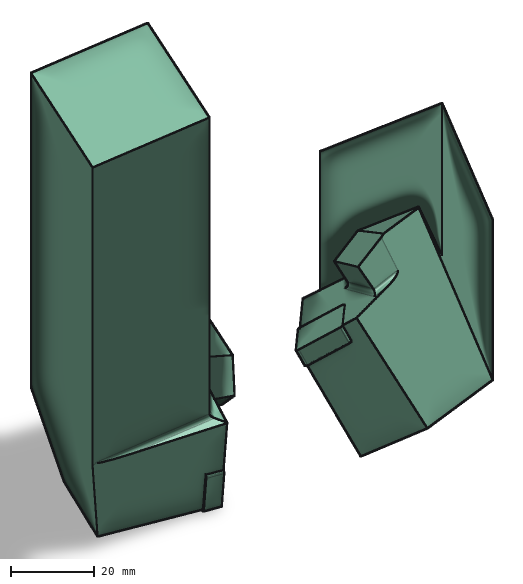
import cadquery as cq
import math

SHANK_SIDE = 31.9
TOTAL_LENGTH = 152.4
SHANK_START = 25.9

HEAD_DEPTH = 46.6
HEAD_WIDTH = 41.1
HEAD_HEIGHT = 32.0
SHOULDER_HEIGHT = 29.9
SHOULDER_ANGLE = 15.0
SHOULDER_FILLET = 1.2
BEVEL_START = (0.0, 0.0, 23.6)
BEVEL_NORMAL = (-1.06, 0.03, -1.0)

SIDE_FLANK_POINT = (SHANK_SIDE, 0.0, SHOULDER_HEIGHT)
SIDE_FLANK_NORMAL = (1.0, -0.09, 0.1)
END_FLANK_POINT = (34.5, 0.0, 4.1)
END_FLANK_NORMAL = (-0.083, -0.105, -1.0)

RAKE_POINT = cq.Vector(20.5, 33.5, 1.5)
RAKE_NORMAL = cq.Vector(0.09, 1.0, -0.1).normalized()

NOSE_UPPER_BACK = cq.Vector(15.8, HEAD_DEPTH, 25.9)
NOSE_LOWER_BACK = cq.Vector(9.0, HEAD_DEPTH, 15.1)
NOSE_UPPER_TIP = cq.Vector(23.5, 43.1, 20.9)
NOSE_LOWER_TIP = cq.Vector(17.4, 43.0, 9.8)
NOSE_UPPER_ROOT = cq.Vector(22.5, 35.7, 22.4)
NOSE_LOWER_ROOT = cq.Vector(16.3, 34.9, 10.4)
NOSE_UPPER_START = cq.Vector(13.3, 36.9, 28.5)
NOSE_LOWER_START = cq.Vector(9.0, 36.0, 15.2)
NOSE_FILLET = 1.2

INSERT_INSCRIBED = 12.6
INSERT_ANGLE = 80.0
INSERT_THICKNESS = 4.7
INSERT_CORNER_RADIUS = 0.8
INSERT_CORNER_X = 38.3
INSERT_CORNER_Z = -0.06

CUTTER_SIZE = 228.6


def trim(body, point, normal):
    """Remove everything on the side of a plane that its normal points to."""
    plane = cq.Plane(origin=point, normal=normal)
    cutter = cq.Workplane(plane).rect(CUTTER_SIZE, CUTTER_SIZE).extrude(CUTTER_SIZE)
    return body.cut(cutter)


def fillet_at(body, points, radius):
    """Round the edges whose middles lie nearest to the given points."""
    edges = [body.edges(cq.selectors.NearestToPointSelector(point)).val() for point in points]
    return body.newObject(edges).fillet(radius)


def plane_normal(first, second, third):
    return (second - first).cross(third - first)


def make_shank(bottom, top):
    bar = cq.Workplane("XY").box(SHANK_SIDE, SHANK_SIDE, top - bottom, centered=False)
    return bar.translate((0, 0, bottom))


def make_head_block():
    """The head with its filleted shoulders, before the rake face is cut."""
    block = cq.Workplane("XY").box(HEAD_WIDTH, HEAD_DEPTH, SHOULDER_HEIGHT, centered=False)

    shoulder_corner = (SHANK_SIDE, SHANK_SIDE, SHOULDER_HEIGHT)
    slope = math.tan(math.radians(SHOULDER_ANGLE))
    block = trim(block, shoulder_corner, (0, slope, 1))
    block = trim(block, shoulder_corner, (slope, 0, 1))

    block = block.union(make_shank(SHANK_START, HEAD_HEIGHT))
    back_middle = (SHANK_SIDE / 2, SHANK_SIDE, SHOULDER_HEIGHT)
    side_middle = (SHANK_SIDE, SHANK_SIDE / 2, SHOULDER_HEIGHT)
    block = fillet_at(block, [back_middle, side_middle], SHOULDER_FILLET)

    block = trim(block, BEVEL_START, BEVEL_NORMAL)
    block = trim(block, SIDE_FLANK_POINT, SIDE_FLANK_NORMAL)
    return trim(block, END_FLANK_POINT, END_FLANK_NORMAL)


def make_nose(block):
    upper_normal = plane_normal(NOSE_UPPER_BACK, NOSE_UPPER_ROOT, NOSE_UPPER_TIP)
    lower_normal = plane_normal(NOSE_LOWER_BACK, NOSE_LOWER_TIP, NOSE_LOWER_ROOT)
    back_normal = plane_normal(NOSE_UPPER_BACK, NOSE_UPPER_TIP, NOSE_LOWER_BACK)
    end_normal = plane_normal(NOSE_UPPER_TIP, NOSE_UPPER_ROOT, NOSE_LOWER_TIP)
    nose = trim(block, NOSE_UPPER_TIP, upper_normal)
    nose = trim(nose, NOSE_LOWER_TIP, lower_normal)
    nose = trim(nose, NOSE_UPPER_TIP, back_normal)
    return trim(nose, NOSE_UPPER_TIP, end_normal)


def make_insert():
    offset = cq.Vector(INSERT_CORNER_X, RAKE_POINT.y, INSERT_CORNER_Z) - RAKE_POINT
    corner_y = RAKE_POINT.y - offset.dot(RAKE_NORMAL) / RAKE_NORMAL.y
    corner = (INSERT_CORNER_X, corner_y, INSERT_CORNER_Z)
    end_edge = RAKE_NORMAL.cross(cq.Vector(*END_FLANK_NORMAL))
    plane = cq.Plane(origin=corner, xDir=end_edge, normal=RAKE_NORMAL)
    angle = math.radians(INSERT_ANGLE)
    side = INSERT_INSCRIBED / math.sin(angle)
    side_x = side * math.cos(angle)
    outline = [(0, 0), (side, 0), (side + side_x, INSERT_INSCRIBED), (side_x, INSERT_INSCRIBED)]
    rhombus = cq.Workplane(plane).polyline(outline).close().extrude(-INSERT_THICKNESS)
    return rhombus.edges(cq.selectors.ParallelDirSelector(RAKE_NORMAL)).fillet(INSERT_CORNER_RADIUS)


def make_holder(insert):
    block = make_head_block()
    head = trim(block, RAKE_POINT, RAKE_NORMAL).union(make_nose(block))
    root_middles = [
        (NOSE_UPPER_START + NOSE_UPPER_ROOT) * 0.5,
        (NOSE_UPPER_ROOT + NOSE_LOWER_ROOT) * 0.5,
        (NOSE_LOWER_ROOT + NOSE_LOWER_START) * 0.5,
    ]
    head = fillet_at(head, root_middles, NOSE_FILLET)
    holder = head.union(make_shank(SHANK_START, TOTAL_LENGTH))
    return holder.cut(insert)


insert = make_insert()
holder = make_holder(insert)
result = cq.Compound.makeCompound([holder.val(), insert.val()])